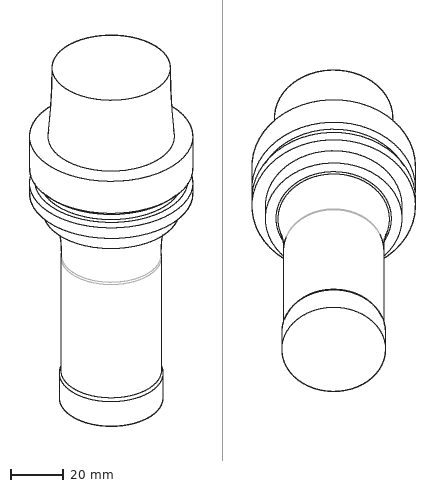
import cadquery as cq

end_ring_top = 11.4
shank_bottom = 12.8
shank_top = 64.9
flare_bottom = 65.8
flare_top = 85.5
collar_bottom = 86.0
flange_bottom = 94.1
groove_lower_chamfer = 99.0
groove_bottom = 100.2
groove_top = 103.8
groove_upper_chamfer = 105.6
flange_top = 120.4
total_height = 152.0

end_ring_radius = 40.0 / 2
shank_radius = 38.8 / 2
neck_radius = 19.2
flare_top_radius = 21.5
flare_relief_radius = 22.2
collar_radius = 52.6 / 2
groove_radius = 55.0 / 2
groove_lip_radius = 29.5
flange_radius = 63.0 / 2
head_base_radius = 24.3
head_top_radius = 22.8


def vertical_start_radius(height, spread):
    """Radius of an arc that is vertical at one end and spreads outwards over the given height."""
    return (height**2 + spread**2) / (2 * spread)


def half_profile():
    """Closed half section of the turned part, with local x as radius and local y as height."""
    profile = cq.Workplane("XZ").moveTo(0, 0)

    profile = (
        profile.lineTo(end_ring_radius, 0)
        .lineTo(end_ring_radius, end_ring_top)
        .lineTo(shank_radius, shank_bottom)
    )

    flare_arc_radius = vertical_start_radius(flare_top - flare_bottom, flare_top_radius - neck_radius)
    profile = (
        profile.lineTo(shank_radius, shank_top)
        .lineTo(neck_radius, flare_bottom)
        .radiusArc((flare_top_radius, flare_top), flare_arc_radius)
        .lineTo(flare_relief_radius, collar_bottom)
    )

    profile = (
        profile.lineTo(collar_radius, collar_bottom)
        .lineTo(collar_radius, flange_bottom)
        .lineTo(flange_radius, flange_bottom)
        .lineTo(flange_radius, groove_lower_chamfer)
        .lineTo(groove_lip_radius, groove_bottom)
        .lineTo(groove_radius, groove_bottom)
        .lineTo(groove_radius, groove_top)
        .lineTo(groove_lip_radius, groove_top)
        .lineTo(flange_radius, groove_upper_chamfer)
        .lineTo(flange_radius, flange_top)
    )

    head_arc_radius = vertical_start_radius(total_height - flange_top, head_base_radius - head_top_radius)
    profile = (
        profile.lineTo(head_base_radius, flange_top)
        .radiusArc((head_top_radius, total_height), head_arc_radius)
        .lineTo(0, total_height)
    )
    return profile.close()


result = half_profile().revolve(360, (0, 0, 0), (0, 1, 0))